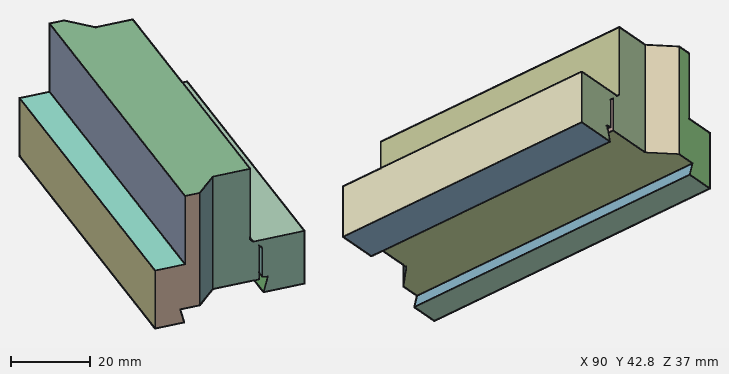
import cadquery as cq
import math

length = 90.0
depth = 42.8
height = 37.0

rail_front = 8.1
rail_width = 20.1
rail_back = rail_front + rail_width
front_ledge_height = 17.0
rear_ledge_height = 15.5
hinge_chamfer = 0.8

channel_height = 4.05
dovetail_angle = 15.0
dovetail_shift = channel_height * math.tan(math.radians(dovetail_angle))
front_foot_width = 7.9
rear_foot_width = 11.1
rear_foot_edge = depth - rear_foot_width
jaw_corner_height = 4.3
jaw_corner_shift = jaw_corner_height * math.tan(math.radians(dovetail_angle))
jaw_step_height = 4.7

slot_front = 30.6
slot_width = 0.8
slot_back = slot_front + slot_width
slot_height = 13.9

end_inset = 6.0
taper_start = 12.1
taper_end = taper_start + end_inset


def make_profile_body():
    """Cross-section in Y and Z, extruded along the whole length."""
    points = [
        (0, 0),
        (front_foot_width, 0),
        (front_foot_width - dovetail_shift, channel_height),
        (slot_front, channel_height),
        (slot_front, slot_height),
        (slot_back, slot_height - slot_width),
        (slot_back, jaw_step_height),
        (rear_foot_edge + jaw_corner_shift, jaw_corner_height),
        (rear_foot_edge, 0),
        (depth, 0),
        (depth, rear_ledge_height),
        (rail_back + hinge_chamfer, rear_ledge_height),
        (rail_back, rear_ledge_height + hinge_chamfer),
        (rail_back, height),
        (rail_front, height),
        (rail_front, front_ledge_height),
        (0, front_ledge_height),
    ]
    return cq.Workplane("YZ").polyline(points).close().extrude(length)


def make_plan_body():
    """Outline in X and Y, tapering in at both ends towards the rear."""
    points = [
        (0, 0),
        (length, 0),
        (length, taper_start),
        (length - end_inset, taper_end),
        (length - end_inset, depth),
        (end_inset, depth),
        (end_inset, taper_end),
        (0, taper_start),
    ]
    return cq.Workplane("XY").polyline(points).close().extrude(height)


result = make_profile_body().intersect(make_plan_body())